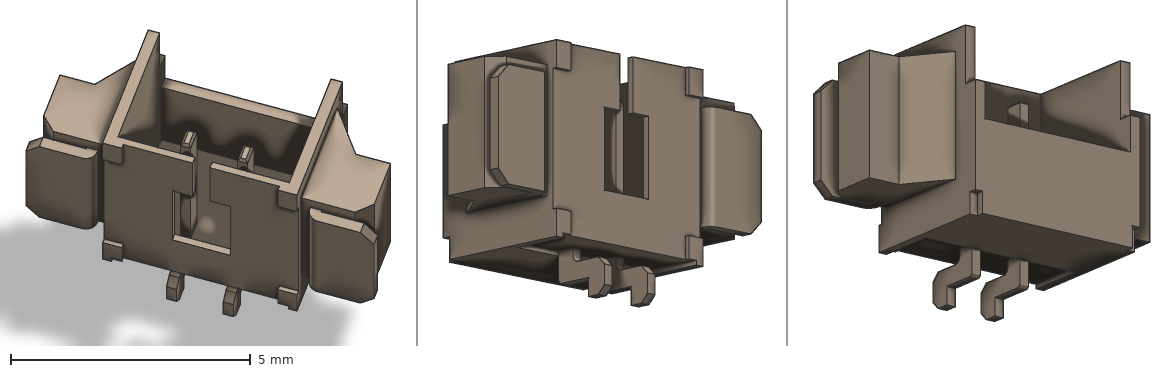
import cadquery as cq


housing_width = 4.27
housing_depth = 3.4
housing_height = 4.2
side_wall = 0.25
cavity_front = 0.25
cavity_back = 3.145
floor_top = 0.2
back_wall_top = 2.095
back_step_depth = 0.35
back_step_bottom = 2.91

pad_width = 0.42
pad_height = 0.6
pad_thickness = 0.1
rail_width = 0.19
rail_height = 0.1
corner_notch_depth = 0.19
corner_notch_height = 0.49

slot_width = 0.38
window_width = 1.28
window_bottom = 1.225
window_top = 3.0

wing_bottom = 0.9
wing_top = 3.71
wing_reach = 3.63
wing_front = 0.29
wing_back = 1.705
wing_chamfer = 0.32
wing_root_back = 2.7
wing_brace_reach = 2.87

clip_thickness = 0.25
clip_reach = 3.825
clip_inner = 2.33
clip_leg_end = 0.765
clip_top = 3.46
clip_corner = 0.3

pin_pitch = 1.25
pin_width = 0.22
pin_front = 0.95
pin_back = 1.38
pin_top = 3.5
pin_tip_chamfer = 0.05
pin_arm_top = -0.2
pin_arm_bottom = -0.6
pin_foot_bottom = -1.0
pin_foot_depth = 0.49
pin_foot_chamfer = 0.18
pin_inner_radius = 0.15
pin_outer_radius = 0.09

half_width = housing_width / 2
cavity_width = housing_width - 2 * side_wall
pin_centers = [-pin_pitch / 2, pin_pitch / 2]


def block(x_range, y_range, z_range):
    """Box between the given limits along each axis."""
    size = [high - low for low, high in (x_range, y_range, z_range)]
    corner = (x_range[0], y_range[0], z_range[0])
    return cq.Workplane("XY").box(*size, centered=False).translate(corner)


def centered_block(width, y_range, z_range):
    """Box that is symmetric about X = 0."""
    return block((-width / 2, width / 2), y_range, z_range)


def mirrored(shape):
    """The copy of a shape on the other side of X = 0."""
    return shape.mirror("YZ")


def make_clip():
    """Solder clip on the +X side: a flat tab with a leg bent back into the wing, clear of its front."""
    tab_start = clip_inner + clip_thickness
    profile = (
        cq.Workplane("XY")
        .workplane(offset=wing_bottom)
        .moveTo(clip_reach, 0)
        .lineTo(tab_start, 0)
        .tangentArcPoint((clip_inner, clip_thickness), relative=False)
        .lineTo(clip_inner, clip_leg_end)
        .lineTo(tab_start, clip_leg_end)
        .lineTo(tab_start, clip_thickness)
        .lineTo(clip_reach, clip_thickness)
        .close()
    )
    clip = profile.extrude(clip_top - wing_bottom)
    return clip.edges("|Y and >X").chamfer(clip_corner)


def make_pin(center):
    """Contact with a chamfered tip, an arm bent forward and a foot on the mounting plane."""
    chamfer = pin_foot_chamfer
    profile = [
        (pin_back, pin_top),
        (pin_back, pin_arm_bottom),
        (pin_foot_depth, pin_arm_bottom),
        (pin_foot_depth, pin_foot_bottom),
        (chamfer, pin_foot_bottom),
        (0, pin_foot_bottom + chamfer),
        (0, pin_arm_top - chamfer),
        (chamfer, pin_arm_top),
        (pin_front, pin_arm_top),
        (pin_front, pin_top),
    ]
    pin = cq.Workplane("YZ").polyline(profile).close().extrude(pin_width / 2, both=True)
    inner_corner = cq.selectors.NearestToPointSelector((0, pin_front, pin_arm_top))
    outer_corner = cq.selectors.NearestToPointSelector((0, pin_back, pin_arm_bottom))
    pin = pin.edges("|X").edges(inner_corner).fillet(pin_inner_radius)
    pin = pin.edges("|X").edges(outer_corner).fillet(pin_outer_radius)
    pin = pin.faces(">Z").edges().chamfer(pin_tip_chamfer)
    return pin.translate((center, 0, 0))


def make_wing():
    """Wing on the +X side of the housing, braced by a sloping back."""
    outline = [
        (half_width, wing_front),
        (wing_reach - wing_chamfer, wing_front),
        (wing_reach, wing_front + wing_chamfer),
        (wing_reach, wing_back),
        (wing_brace_reach, wing_back),
        (half_width, wing_root_back),
    ]
    wing = cq.Workplane("XY").workplane(offset=wing_bottom).polyline(outline).close()
    return wing.extrude(wing_top - wing_bottom)


def make_shell():
    """Open-topped box, with a low back wall and a step in the back of its side walls."""
    shell = centered_block(housing_width, (0, housing_depth), (0, housing_height))
    cavity = centered_block(cavity_width, (cavity_front, cavity_back), (floor_top, housing_height))
    back_opening = centered_block(
        cavity_width, (cavity_back, housing_depth), (back_wall_top, housing_height)
    )
    back_step = centered_block(
        housing_width,
        (housing_depth - back_step_depth, housing_depth),
        (back_step_bottom, housing_height),
    )
    return shell.cut(cavity).cut(back_opening).cut(back_step)


def cut_relief(housing):
    """Set back the front face around the four pads, raise the underside and notch the back corners."""
    upright_relief = centered_block(
        housing_width, (0, pad_thickness), (pad_height, housing_height - pad_height)
    )
    level_relief = centered_block(
        housing_width - 2 * pad_width, (0, pad_thickness), (0, housing_height)
    )
    inner_width = housing_width - 2 * rail_width
    underside_relief = centered_block(inner_width, (0, pin_back), (0, rail_height))
    notch = block(
        (half_width - rail_width, half_width),
        (housing_depth - corner_notch_depth, housing_depth),
        (0, corner_notch_height),
    )
    housing = housing.cut(upright_relief).cut(level_relief).cut(underside_relief)
    return housing.cut(notch).cut(mirrored(notch))


def cut_front_opening(housing):
    """Narrow slot from the rim down to a wider window in the front wall."""
    slot = centered_block(slot_width, (0, cavity_front), (window_top, housing_height))
    window = centered_block(window_width, (0, cavity_front), (window_bottom, window_top))
    return housing.cut(slot).cut(window)


clip = make_clip()
clips = [clip, mirrored(clip)]
pins = [make_pin(center) for center in pin_centers]

housing = cut_front_opening(cut_relief(make_shell()))
wing = make_wing()
housing = housing.union(wing).union(mirrored(wing))
for insert in clips + pins:
    housing = housing.cut(insert)

result = cq.Compound.makeCompound(
    [housing.val(), *[clip.val() for clip in clips], *[pin.val() for pin in pins]]
)